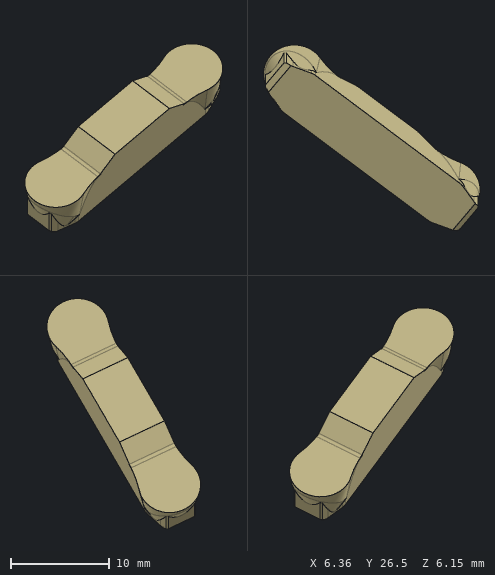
import cadquery as cq
import math

length = 26.5
head_radius = 3.18
body_width = 5.2
crest_height = 6.15
shelf_height = 4.8

crest_length = 8.05
ramp_angle = 30.0
ramp_fillet = 0.8

neck_radius = 10.6
clearance_angle = 7.0

relief_tip_depth = 0.64
relief_slope = 39.0
relief_depth = 1.85
relief_tip_inset = 2.62
relief_side_inset = 0.72
relief_heel_inset = 0.8

pad_reach = 12.65
pad_front_width = 3.0
pad_bevel_x = 0.2
pad_bevel_y = 0.15
pad_side_half_width = 1.93
pad_side_reach = 11.77
shoulder_reach = 9.65
shoulder_fillet = 1.6
toe_height = 0.48
toe_length = 0.64

half_body = body_width / 2
head_center = length / 2 - head_radius

trim_size = 2 * length
pick_margin = 0.26


def edge_band(reach, bottom, top):
    """Selector for edges centered within +/- reach along Y and between two heights."""
    return cq.selectors.BoxSelector((-body_width, -reach, bottom), (body_width, reach, top))


def make_core():
    """Full-length core: the plan outline trimmed by the side profile."""
    front_x = pad_front_width / 2
    quarter = [
        (front_x, pad_reach),
        (front_x + pad_bevel_x, pad_reach - pad_bevel_y),
        (pad_side_half_width, pad_side_reach),
        (half_body, shoulder_reach),
    ]
    right_side = quarter + [(x, -y) for x, y in reversed(quarter)]
    left_side = [(-x, -y) for x, y in right_side]
    plan = cq.Workplane("XY").polyline(right_side + left_side).close().extrude(crest_height)
    shoulders = edge_band(shoulder_reach + pick_margin, 0, crest_height)
    plan = plan.edges("|Z").edges(shoulders).fillet(shoulder_fillet)

    crest_end = crest_length / 2
    ramp_foot = crest_end + (crest_height - shelf_height) / math.tan(math.radians(ramp_angle))
    half_profile = [
        (pad_reach - toe_length, 0),
        (pad_reach, toe_height),
        (pad_reach, shelf_height),
        (ramp_foot, shelf_height),
        (crest_end, crest_height),
    ]
    profile_points = half_profile + [(-y, z) for y, z in reversed(half_profile)]
    profile = cq.Workplane("YZ").polyline(profile_points).close().extrude(half_body, both=True)
    ramp_feet = edge_band(ramp_foot + pick_margin, shelf_height - pick_margin, shelf_height + pick_margin)
    profile = profile.edges("|X").edges(ramp_feet).fillet(ramp_fillet)
    return plan.intersect(profile)


def make_drafted_head():
    """Head at the +Y end before relief: a round tip and curved neck, narrowing downward."""
    neck_center_x = half_body + neck_radius
    center_distance = head_radius + neck_radius
    join_angle = math.acos(neck_center_x / center_distance)
    neck_start = head_center - center_distance * math.sin(join_angle)
    join_x = head_radius * math.cos(join_angle)
    join_y = head_center - head_radius * math.sin(join_angle)
    mid_x = neck_center_x - neck_radius * math.cos(join_angle / 2)
    mid_y = neck_start + neck_radius * math.sin(join_angle / 2)

    return (
        cq.Workplane("XY", origin=(0, 0, shelf_height))
        .moveTo(-half_body, neck_start)
        .lineTo(half_body, neck_start)
        .threePointArc((mid_x, mid_y), (join_x, join_y))
        .threePointArc((0, length / 2), (-join_x, join_y))
        .threePointArc((-mid_x, mid_y), (-half_body, neck_start))
        .close()
        .extrude(-shelf_height, taper=clearance_angle)
    )


def make_head():
    """Head at the +Y end with a steeper relief below a sloping plane."""
    slope = math.radians(relief_slope)
    draft = math.tan(math.radians(clearance_angle))
    rim_radius = head_radius - relief_tip_depth * draft
    ellipse_length = 2 * rim_radius / (math.cos(slope) + draft * math.sin(slope))
    rim_semi_long = ellipse_length / 2
    rim_center_y = head_center + rim_radius - rim_semi_long * math.cos(slope)
    rim_center_z = shelf_height - relief_tip_depth - rim_semi_long * math.sin(slope)
    cone_radius = head_radius - (shelf_height - rim_center_z) * draft
    rim_semi_short = math.sqrt(cone_radius**2 - (rim_center_y - head_center) ** 2)

    relief_plane = cq.Plane(
        origin=(0, rim_center_y, rim_center_z),
        xDir=(0, -math.cos(slope), -math.sin(slope)),
        normal=(0, -math.sin(slope), math.cos(slope)),
    )
    above_plane = cq.Workplane(relief_plane).rect(trim_size, trim_size).extrude(trim_size)
    upper = make_drafted_head().intersect(above_plane)

    floor_shift = (relief_tip_inset - relief_heel_inset) / 2
    floor_semi_long = rim_semi_long - (relief_tip_inset + relief_heel_inset) / 2
    floor_semi_short = rim_semi_short - relief_side_inset
    lower = (
        cq.Workplane(relief_plane)
        .ellipse(rim_semi_long, rim_semi_short)
        .workplane(offset=-relief_depth)
        .center(floor_shift, 0)
        .ellipse(floor_semi_long, floor_semi_short)
        .loft(ruled=True)
    )
    above_base = cq.Workplane("XY").rect(trim_size, trim_size).extrude(trim_size)
    return upper.union(lower.intersect(above_base))


head = make_head()
result = make_core().union(head).union(head.mirror("XZ"))